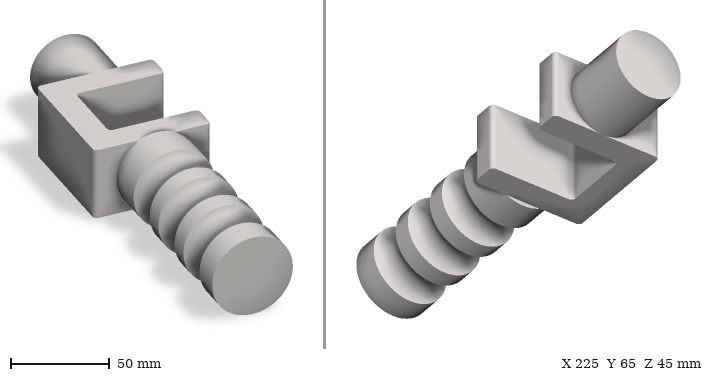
import cadquery as cq

pin_diameter = 40.0
pin_length = 40.0

bracket_length = 70.0
bracket_width = 65.0
bracket_height = pin_diameter
wall = 15.0
axis_to_back = 35.0
edge_radius = 2.5

handle_diameter = 45.0
handle_length = 115.0
groove_radius = 10.0
groove_floor_radius = 15.0
groove_count = 3
groove_pitch = 30.0
first_groove_offset = 30.0

bracket_start = pin_length
handle_start = bracket_start + bracket_length


def make_cylinder(start_x, length, diameter):
    """Solid cylinder along +X, centred on the X axis."""
    return cq.Workplane("YZ", origin=(start_x, 0, 0)).circle(diameter / 2).extrude(length)


def make_bracket():
    """U-shaped block whose vertical edges all share one small radius."""
    slot_length = bracket_length - 2 * wall
    return (
        cq.Workplane("XY", origin=(bracket_start, -axis_to_back, -bracket_height / 2))
        .hLine(bracket_length)
        .vLine(bracket_width)
        .hLine(-wall)
        .vLine(wall - bracket_width)
        .hLine(-slot_length)
        .vLine(bracket_width - wall)
        .hLine(-wall)
        .close()
        .extrude(bracket_height)
        .edges("|Z")
        .fillet(edge_radius)
    )


def make_groove(center_x):
    """Ring of circular section that cuts one round groove into the handle."""
    ring_radius = groove_floor_radius + groove_radius
    return (
        cq.Workplane("XY")
        .center(center_x, ring_radius)
        .circle(groove_radius)
        .revolve(360, (0, -ring_radius, 0), (1, -ring_radius, 0))
    )


def make_handle():
    handle = make_cylinder(handle_start, handle_length, handle_diameter)
    for index in range(groove_count):
        center_x = handle_start + first_groove_offset + index * groove_pitch
        handle = handle.cut(make_groove(center_x))
    return handle


pin = make_cylinder(0, pin_length, pin_diameter)
result = make_bracket().union(pin).union(make_handle())